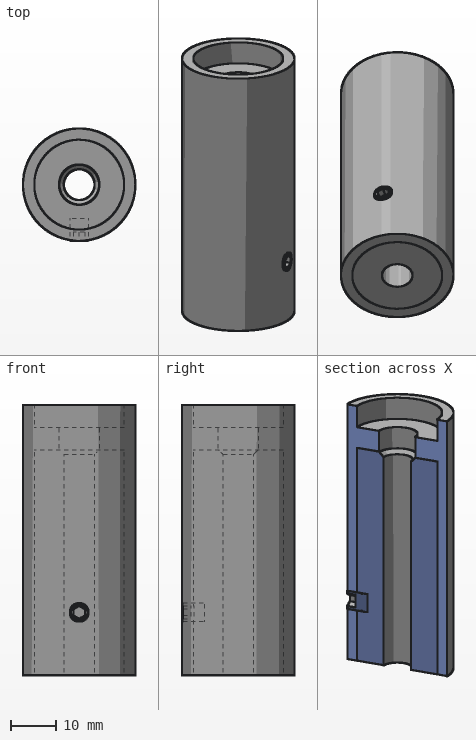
import cadquery as cq
import math

housing_length = 60.0
housing_diameter = 25.0
wall = 2.5
bore_diameter = housing_diameter - 2 * wall
top_recess_depth = 5.0
web_thickness = 5.0
web_hole_diameter = 9.0
web_underside = housing_length - top_recess_depth - web_thickness

insert_diameter = bore_diameter
insert_hole_diameter = 6.8
insert_hole_chamfer = 1.0

screw_height = 14.0
screw_diameter = 4.15
screw_length = 5.0
screw_chamfer = 0.25
hex_across_flats = 2.5
hex_across_corners = hex_across_flats / math.cos(math.radians(30))
hex_depth = 2.0
screw_face_y = -housing_diameter / 2


def screw_plane():
    """Workplane on the outer face of the set screw, with its normal toward -Y."""
    return cq.Workplane("XZ", origin=(0, screw_face_y, screw_height))


def screw_blank():
    """Plain cylinder of the set screw, reaching inward along +Y."""
    return screw_plane().circle(screw_diameter / 2).extrude(-screw_length)


def make_housing():
    sleeve = cq.Workplane("XY").circle(housing_diameter / 2).extrude(housing_length)
    lower_bore = cq.Workplane("XY").circle(bore_diameter / 2).extrude(web_underside)
    web_hole = cq.Workplane("XY").circle(web_hole_diameter / 2).extrude(housing_length)
    top_recess = (
        cq.Workplane("XY", origin=(0, 0, housing_length))
        .circle(bore_diameter / 2)
        .extrude(-top_recess_depth)
    )
    return sleeve.cut(lower_bore).cut(web_hole).cut(top_recess).cut(screw_blank())


def make_insert():
    """Round bar with a through hole, chamfered at the top, and a seat for the set screw."""
    bar = (
        cq.Workplane("XY")
        .circle(insert_diameter / 2)
        .circle(insert_hole_diameter / 2)
        .extrude(web_underside)
    )
    hole_rim = cq.selectors.RadiusNthSelector(0)
    bar = bar.faces(">Z").edges(hole_rim).chamfer(insert_hole_chamfer)
    return bar.cut(screw_blank())


def make_set_screw():
    """Headless screw with a chamfered outer rim and a hexagon socket, one corner up and one down."""
    body = screw_blank().faces("<Y").edges().chamfer(screw_chamfer)
    socket = (
        screw_plane()
        .transformed(rotate=(0, 0, 90))
        .polygon(6, hex_across_corners)
        .extrude(-hex_depth)
    )
    return body.cut(socket)


housing = make_housing()
insert = make_insert()
set_screw = make_set_screw()

result = cq.Compound.makeCompound([housing.val(), insert.val(), set_screw.val()])